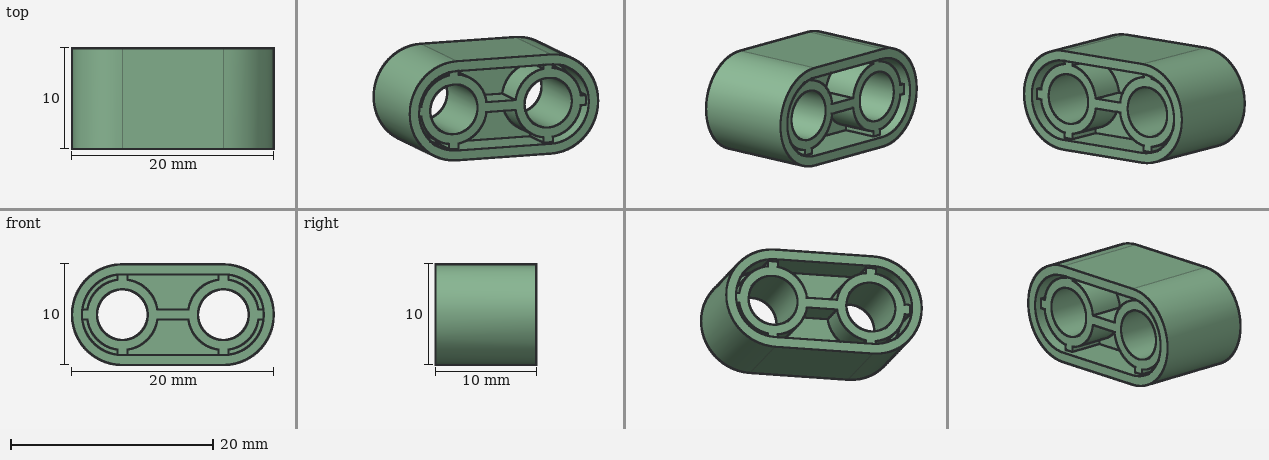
import cadquery as cq

height = 10.0
length = 20.0
depth = 10.0
wall = 1.0

bore_diameter = 5.0
tube_diameter = 7.0
hole_spacing = length - height

rib_width = 1.0
recess = 0.8
floor_thickness = 1.0

cavity_height = height - 2 * wall
cavity_length = length - 2 * wall
core_depth = depth - 2 * recess
hole_centers = [(-hole_spacing / 2, 0), (hole_spacing / 2, 0)]


def plane_for(thickness):
    """XZ plane placed so an extrusion of this thickness is centred on Y = 0."""
    return cq.Workplane("XZ", origin=(0, thickness / 2, 0))


def stadium(overall_length, overall_height, thickness):
    return plane_for(thickness).slot2D(overall_length, overall_height).extrude(thickness)


def rim():
    outer = stadium(length, height, depth)
    return outer.cut(stadium(cavity_length, cavity_height, depth))


def floor():
    return stadium(cavity_length, cavity_height, floor_thickness)


def tubes():
    return plane_for(core_depth).pushPoints(hole_centers).circle(tube_diameter / 2).extrude(core_depth)


def ribs():
    """One long rib along X and one cross rib through each tube, trimmed to the cavity."""
    long_rib = plane_for(core_depth).rect(cavity_length, rib_width).extrude(core_depth)
    cross_ribs = (
        plane_for(core_depth)
        .pushPoints(hole_centers)
        .rect(rib_width, cavity_height)
        .extrude(core_depth)
    )
    cavity = stadium(cavity_length, cavity_height, core_depth)
    return long_rib.union(cross_ribs).intersect(cavity)


def bores():
    return plane_for(depth).pushPoints(hole_centers).circle(bore_diameter / 2).extrude(depth)


result = rim().union(floor()).union(tubes()).union(ribs()).cut(bores())